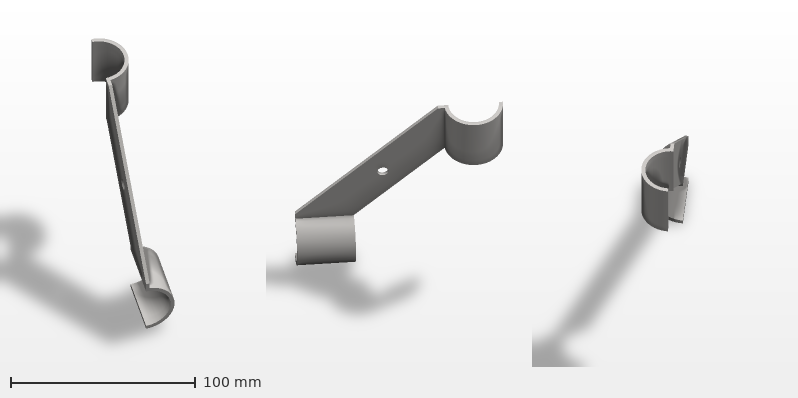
import cadquery as cq

overall_size = 113.0

clip_diameter = 32.0
clip_radius = clip_diameter / 2
clip_length = 31.9
clip_wall = 2.3

flat_beside_clip = 3.5
plate_thickness = 2.0
hole_diameter = 6.0


def half_round_profile(plane, center):
    """Half-ring sketch bulging toward the second axis of the plane."""
    inner_radius = clip_radius - clip_wall
    return (
        cq.Workplane(plane)
        .center(*center)
        .moveTo(-clip_radius, 0)
        .threePointArc((0, clip_radius), (clip_radius, 0))
        .lineTo(inner_radius, 0)
        .threePointArc((0, inner_radius), (-inner_radius, 0))
        .close()
    )


upper_clip = (
    half_round_profile("XY", (clip_radius, 0))
    .extrude(clip_length)
    .translate((0, 0, overall_size - clip_length))
)

lower_clip_plane = cq.Plane(origin=(overall_size, 0, 0), xDir=(0, 0, 1), normal=(-1, 0, 0))
lower_clip = half_round_profile(lower_clip_plane, (clip_radius, 0)).extrude(clip_length)

plate_edge = clip_diameter + flat_beside_clip
clip_end = overall_size - clip_length
plate = (
    cq.Workplane("XZ")
    .polyline([
        (clip_diameter, overall_size),
        (plate_edge, overall_size),
        (overall_size, plate_edge),
        (overall_size, clip_diameter),
        (clip_end, clip_diameter),
        (clip_diameter, clip_end),
    ])
    .close()
    .extrude(-plate_thickness)
)

hole_position = (overall_size + plate_edge + clip_diameter + clip_end) / 4
hole = (
    cq.Workplane("XZ")
    .center(hole_position, hole_position)
    .circle(hole_diameter / 2)
    .extrude(-plate_thickness)
)

wall_start = clip_diameter - clip_wall
upper_foot = (
    cq.Workplane("XY")
    .box(clip_wall, plate_thickness, clip_length, centered=False)
    .translate((wall_start, 0, clip_end))
)
lower_foot = (
    cq.Workplane("XY")
    .box(clip_length, plate_thickness, clip_wall, centered=False)
    .translate((clip_end, 0, wall_start))
)

result = upper_clip.union(lower_clip).union(upper_foot).union(lower_foot).union(plate).cut(hole)